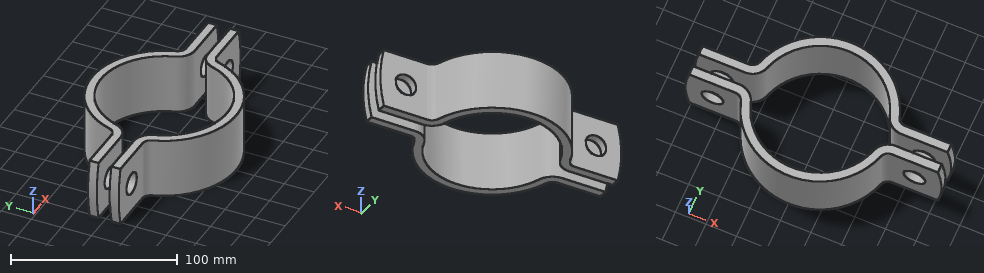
import cadquery as cq
import math

overall_length = 167.5
strap_width = 40.0
strap_thickness = 6.0
bore_radius = 41.9
flange_gap = 8.5
bend_inner_radius = 5.5
bolt_hole_diameter = 14.0
bolt_hole_spacing = 132.0

ring_outer_radius = bore_radius + strap_thickness
bend_outer_radius = bend_inner_radius + strap_thickness
flange_inner_y = flange_gap / 2
flange_outer_y = flange_inner_y + strap_thickness
half_length = overall_length / 2
end_radius = half_length

bend_center_y = flange_outer_y + bend_inner_radius
bend_center_distance = ring_outer_radius + bend_inner_radius
bend_center_x = math.sqrt(bend_center_distance**2 - bend_center_y**2)
bend_tangent_angle = math.atan2(bend_center_y, bend_center_x)
bend_middle_angle = (bend_tangent_angle + math.pi + 1.5 * math.pi) / 2


def ring_point(radius):
    """Point on the +X side where the ring arc of this radius meets its bend."""
    return radius * math.cos(bend_tangent_angle), radius * math.sin(bend_tangent_angle)


def bend_middle(radius):
    """Middle of the +X bend arc of this radius."""
    x = bend_center_x + radius * math.cos(bend_middle_angle)
    y = bend_center_y + radius * math.sin(bend_middle_angle)
    return x, y


def mirrored(point):
    return -point[0], point[1]


def make_strap():
    """Bent strap of constant thickness on the +Y side, with square ends."""
    outer_tangent = ring_point(ring_outer_radius)
    inner_tangent = ring_point(bore_radius)
    outer_bend = bend_middle(bend_inner_radius)
    inner_bend = bend_middle(bend_outer_radius)
    return (
        cq.Workplane("XY")
        .workplane(offset=-strap_width / 2)
        .moveTo(half_length, flange_inner_y)
        .lineTo(half_length, flange_outer_y)
        .lineTo(bend_center_x, flange_outer_y)
        .threePointArc(outer_bend, outer_tangent)
        .threePointArc((0, ring_outer_radius), mirrored(outer_tangent))
        .threePointArc(mirrored(outer_bend), (-bend_center_x, flange_outer_y))
        .lineTo(-half_length, flange_outer_y)
        .lineTo(-half_length, flange_inner_y)
        .lineTo(-bend_center_x, flange_inner_y)
        .threePointArc(mirrored(inner_bend), mirrored(inner_tangent))
        .threePointArc((0, bore_radius), inner_tangent)
        .threePointArc(inner_bend, (bend_center_x, flange_inner_y))
        .close()
        .extrude(strap_width)
    )


def make_end_rounding():
    """Cylinder along +Y that trims the flange ends to convex arcs, its seam clear of both ends."""
    base_plane = cq.Plane(origin=(0, 0, 0), xDir=(0, 0, 1), normal=(0, 1, 0))
    return cq.Workplane(base_plane).circle(end_radius).extrude(ring_outer_radius)


def make_bolt_holes():
    """Cutters along +Y through both flanges."""
    half_spacing = bolt_hole_spacing / 2
    return (
        cq.Workplane("XZ")
        .pushPoints([(-half_spacing, 0), (half_spacing, 0)])
        .circle(bolt_hole_diameter / 2)
        .extrude(-ring_outer_radius)
    )


def make_clamp_half(turn):
    """One clamp half, turned about Z by the given angle in degrees."""
    half = make_strap().intersect(make_end_rounding()).cut(make_bolt_holes())
    return half.rotate((0, 0, 0), (0, 0, 1), turn)


clamp_halves = [make_clamp_half(turn).val() for turn in (0, 180)]

result = cq.Compound.makeCompound(clamp_halves)